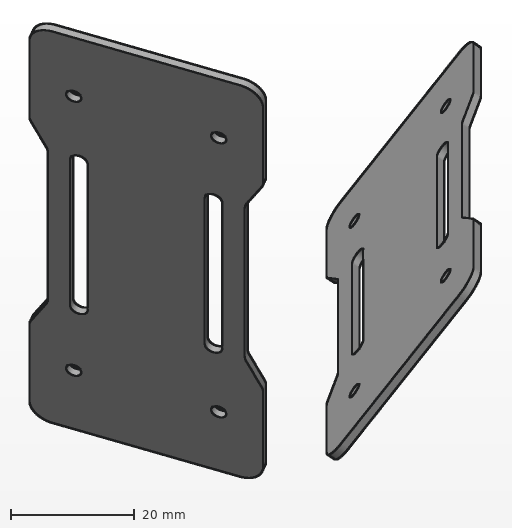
import cadquery as cq

height = 100.0
width = 40.3
thickness = 1.5
corner_radius = 4.0

waist_width = 34.0
waist_height = 39.0
shoulder_height = 52.0
bend_radius = 2.0

hole_diameter = 2.6
hole_spacing_x = 25.0
hole_spacing_z = 70.0

slot_width = 3.0
slot_length = 40.3
slot_spacing = 23.2


def plate():
    """Waisted plate with rounded outer corners and rounded shoulder bends."""
    right_side = [
        (width / 2, -height / 2),
        (width / 2, -shoulder_height / 2),
        (waist_width / 2, -waist_height / 2),
        (waist_width / 2, waist_height / 2),
        (width / 2, shoulder_height / 2),
        (width / 2, height / 2),
    ]
    left_side = [(-x, z) for x, z in reversed(right_side)]
    body = (
        cq.Workplane("XZ")
        .polyline(right_side + left_side)
        .close()
        .extrude(thickness / 2, both=True)
    )
    waist_region = cq.selectors.BoxSelector(
        (-width, -thickness, -shoulder_height / 2 - bend_radius),
        (width, thickness, shoulder_height / 2 + bend_radius),
    )
    bends = body.edges("|Y").edges(waist_region)
    body = bends.fillet(bend_radius)
    return body.edges("|Y and (<Z or >Z)").fillet(corner_radius)


def mounting_holes():
    return (
        cq.Workplane("XZ")
        .rarray(hole_spacing_x, hole_spacing_z, 2, 2)
        .circle(hole_diameter / 2)
        .extrude(thickness, both=True)
    )


def slots():
    return (
        cq.Workplane("XZ")
        .rarray(slot_spacing, 1, 2, 1)
        .slot2D(slot_length, slot_width, 90)
        .extrude(thickness, both=True)
    )


result = plate().cut(mounting_holes()).cut(slots())